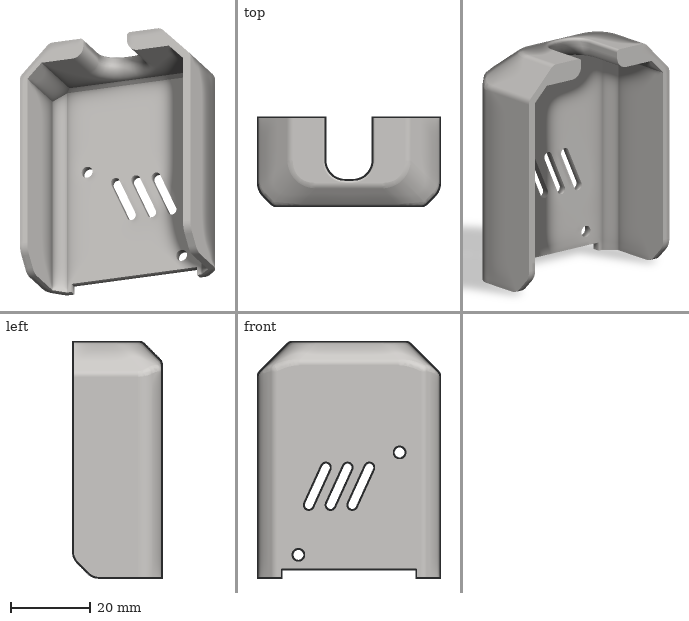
import cadquery as cq
import math

width = 46.0
depth = 22.5
height = 59.5

side_bevel = 8.05
front_bevel = 5.1
bevel_corner_radius = 10.0
corner_chamfer = 4.05
corner_radius = 5.0
edge_radius = 2.0
heel_chamfer = 5.0
heel_radius = 4.0

wall = 2.0
roof = 5.05

slot_width = 11.8
slot_front = 6.7
slot_radius = 4.9
slot_top_radius = 0.8
slot_bottom_radius = 3.0

notch_width = 33.8
notch_height = 2.15
hole_diameter = 2.9
hole_centers = [(-12.75, 5.85), (12.75, 31.6)]
vent_width = 2.45
vent_length = 12.8
vent_angle = 65.5
vent_pitch = 5.5
vent_count = 3
vent_middle_x = -2.5
vent_z = 23.1

tolerance = 0.03


def box(half_width, front, top):
    """Block centred on X that runs from `front` to the rear plane and from the base up to `top`."""
    length = depth - front
    block = cq.Workplane("XY").box(2 * half_width, length, top, centered=(True, False, False))
    return block.translate((0, front, 0))


def bevelled_block(half_width, front, top, side_leg, front_leg):
    """Block with 45 degree bevels from its top to both sides and to its front."""
    block = box(half_width, front, top)
    block = block.edges("|Y and >Z").chamfer(side_leg)
    return block.edges(">Z").edges("<Y").chamfer(front_leg)


def corner_cut_block(half_width, front, top, corner_leg):
    """Block whose two upright front edges are chamfered."""
    return box(half_width, front, top).edges("|Z and <Y").chamfer(corner_leg)


def is_bevel_seam(edge):
    """True for the slanted edges where a side bevel meets the front bevel."""
    direction = edge.tangentAt(0.5)
    return min(abs(direction.x), abs(direction.y), abs(direction.z)) > tolerance


def is_outer_ridge(edge):
    """True for the sharp edges around the top, below the bevels and along the front."""
    start = edge.startPoint()
    end = edge.endPoint()
    low = min(start.z, end.z)
    high = max(start.z, end.z)
    at_rear = min(start.y, end.y) > depth - tolerance
    around_top = low > height - tolerance
    below_bevels = low > height - side_bevel - tolerance and high < height - front_bevel + tolerance
    along_front = max(start.y, end.y) < tolerance and high - low > height / 2
    return not at_rear and (around_top or below_bevels or along_front)


def outer_body():
    """Solid outer shape with all its bevels and rounded edges, except the heel."""
    body = bevelled_block(width / 2, 0, height, side_bevel, front_bevel)
    seams = [edge for edge in body.edges().vals() if is_bevel_seam(edge)]
    body = body.newObject(seams).fillet(bevel_corner_radius)
    body = body.intersect(corner_cut_block(width / 2, 0, height, corner_chamfer))

    side_edges = cq.selectors.BoxSelector(
        (-width, corner_chamfer - tolerance, 0),
        (width, corner_chamfer + tolerance, height),
    )
    body = body.edges("|Z").edges(side_edges).fillet(corner_radius)
    ridges = [edge for edge in body.edges().vals() if is_outer_ridge(edge)]
    return body.newObject(ridges).fillet(edge_radius)


def cavity():
    """Inner space, open to the rear and below."""
    half_width = width / 2 - wall
    ceiling = height - roof
    side_leg = side_bevel + math.sqrt(2) * wall - wall - roof
    front_leg = front_bevel + math.sqrt(2) * wall - wall - roof
    corner_leg = corner_chamfer + math.sqrt(2) * wall - 2 * wall
    space = bevelled_block(half_width, wall, ceiling, side_leg, front_leg)
    return space.intersect(corner_cut_block(half_width, wall, ceiling, corner_leg))


def heel_envelope():
    """Oversized block to keep, with the rounded chamfer at its lower rear edge."""
    keep = cq.Workplane("XY").box(2 * width, 2 * depth, 2 * height, centered=(True, False, False))
    keep = keep.translate((0, -depth, 0))
    keep = keep.edges(">Y and <Z").chamfer(heel_chamfer)
    heel_edges = cq.selectors.BoxSelector((-width / 4, 0, -0.6), (width / 4, depth + 0.6, heel_chamfer + 0.6))
    return keep.edges("|X").edges(heel_edges).fillet(heel_radius)


def cable_slot():
    """Slot tool with a rounded front end; it runs past the rear plane."""
    length = 2 * (depth - slot_front)
    slot = cq.Workplane("XY").box(slot_width, length, roof, centered=(True, False, False))
    slot = slot.translate((0, slot_front, height - roof))
    return slot.edges("|Z and <Y").fillet(slot_radius)


def slot_rim_edges(body, level):
    """Edges of the cable slot at one height."""
    reach = slot_width / 2 + tolerance
    region = cq.selectors.BoxSelector(
        (-reach, slot_front - tolerance, level - tolerance),
        (reach, depth - tolerance, level + tolerance),
    )
    return body.edges(region)


def front_openings():
    """Tools for the base notch, the two round holes and the row of leaning vents."""
    through = 2 * wall
    tools = cq.Workplane("XY").box(notch_width, through, notch_height, centered=(True, True, False))
    front = cq.Workplane("XZ", origin=(0, through, 0))
    tools = tools.union(front.pushPoints(hole_centers).circle(hole_diameter / 2).extrude(2 * through))
    for index in range(vent_count):
        vent_x = vent_middle_x + (index - (vent_count - 1) / 2) * vent_pitch
        vent = front.center(vent_x, vent_z).slot2D(vent_length, vent_width, vent_angle)
        tools = tools.union(vent.extrude(2 * through))
    return tools


result = outer_body().cut(cavity()).cut(cable_slot())
result = slot_rim_edges(result, height).fillet(slot_top_radius)
result = slot_rim_edges(result, height - roof).fillet(slot_bottom_radius)
result = result.intersect(heel_envelope()).cut(front_openings())